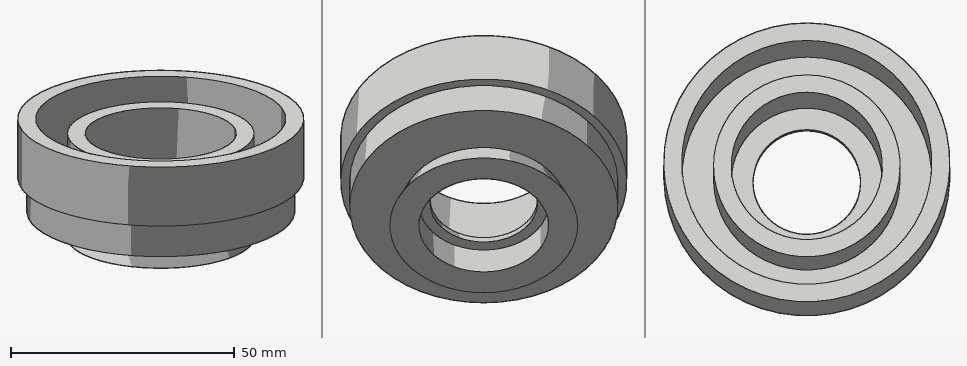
import cadquery as cq

outer_diameter = 64.0
wall = 4.0
rim_height = 14.0
step_diameter = 60.0
step_height = 8.0
flare_height = 6.0
flare_top_diameter = 36.85
flare_bottom_diameter = 42.0
boss_diameter = 41.7
boss_bore_diameter = 33.8
boss_drop = 3.5
groove_depth = 16.7
seat_depth = 19.6
lip_diameter = 24.0
lip_thickness = 1.4
underside_bore_diameter = 29.0

step_base = flare_height
rim_base = step_base + step_height
top = rim_base + rim_height
boss_top = top - boss_drop
groove_floor = top - groove_depth
seat = top - seat_depth
lip_base = seat - lip_thickness


def disc(diameter, bottom, height):
    """Upright cylinder on the part axis."""
    return cq.Workplane("XY").workplane(offset=bottom).circle(diameter / 2).extrude(height)


def cone(bottom_diameter, top_diameter, bottom, height):
    """Upright truncated cone on the part axis."""
    base = cq.Workplane("XY").workplane(offset=bottom).circle(bottom_diameter / 2)
    return base.workplane(offset=height).circle(top_diameter / 2).loft()


body = disc(outer_diameter, rim_base, rim_height)
body = body.union(disc(step_diameter, step_base, step_height))
body = body.union(cone(flare_bottom_diameter, flare_top_diameter, 0, flare_height))

cavity = disc(outer_diameter - 2 * wall, groove_floor, groove_depth)
boss = disc(boss_diameter, groove_floor, boss_top - groove_floor)
body = body.cut(cavity.cut(boss))

body = body.cut(disc(boss_bore_diameter, seat, seat_depth))
body = body.cut(disc(lip_diameter, 0, top))
body = body.cut(disc(underside_bore_diameter, 0, lip_base))

result = body